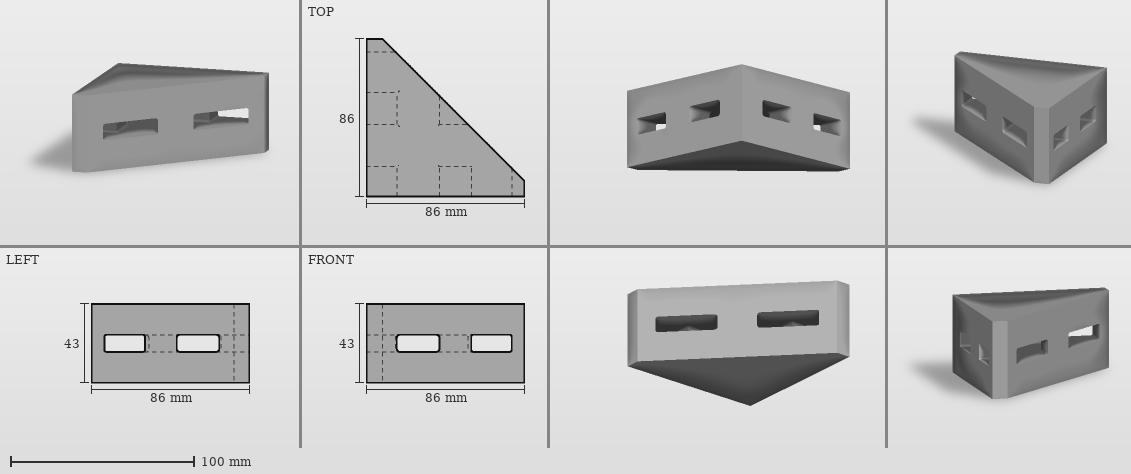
import cadquery as cq

leg_length = 86.0
height = 43.0
tip_flat = 8.6

slot_height = 9.2
inner_slot_start = 16.5
inner_slot_length = 23.1
inner_slot_radius = 1.5
outer_slot_start = 57.0
outer_slot_length = 22.0
outer_slot_radius = 1.0


def corner_block():
    """Right-angled triangular prism with blunt tips."""
    outline = [
        (0, 0),
        (leg_length, 0),
        (leg_length, tip_flat),
        (tip_flat, leg_length),
        (0, leg_length),
    ]
    return cq.Workplane("XY").polyline(outline).close().extrude(height)


def slot_along_y(start, length, radius):
    """Rounded rectangular cutter running the full depth in Y."""
    return (
        cq.Workplane("XY")
        .box(length, leg_length, slot_height, centered=(False, False, True))
        .edges("|Y")
        .fillet(radius)
        .translate((start, 0, height / 2))
    )


def swap_x_and_y(shape):
    """Reflect a shape across the plane X = Y."""
    return shape.mirror("YZ").rotate((0, 0, 0), (0, 0, 1), -90)


result = corner_block()
for start, length, radius in (
    (inner_slot_start, inner_slot_length, inner_slot_radius),
    (outer_slot_start, outer_slot_length, outer_slot_radius),
):
    y_cutter = slot_along_y(start, length, radius)
    result = result.cut(y_cutter).cut(swap_x_and_y(y_cutter))